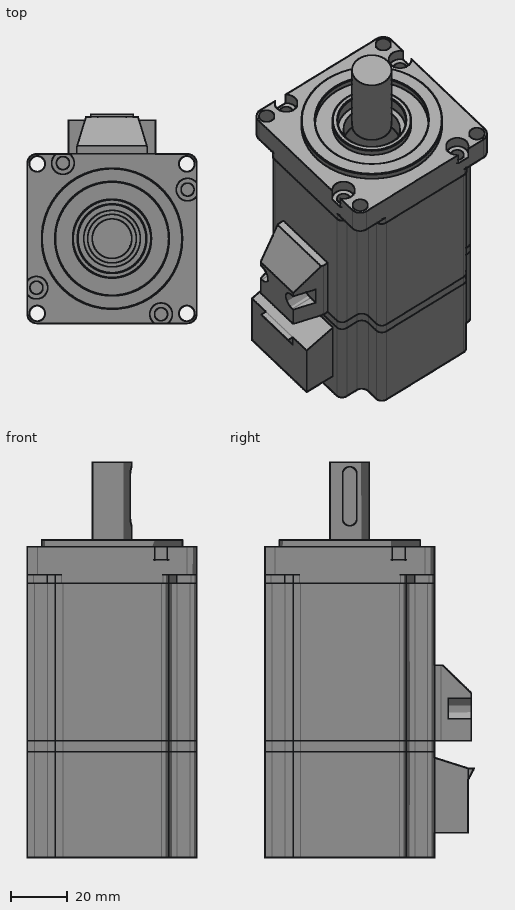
import cadquery as cq

frame_width = 60.0
half_frame = frame_width / 2
notch_wall_offset = 20.0
notch_inner_radius = 3.0
flange_notch_chamfer = 3.0
body_edge_radius = 2.5
flange_edge_radius = 2.1
overlap = 1.4

plate_bottom = 37.5
stator_bottom = 41.3
flange_bottom = 97.2
ear_bottom = 100.1
flange_top = 110.0
register_top = 112.5
shaft_end = 140.0

flange_corner_radius = 3.5
mounting_hole_diameter = 5.5
mounting_hole_offset = 26.5
screw_hole_diameter = 4.6
screw_head_diameter = 8.0
screw_head_depth = 4.6
screw_long_offset = 26.7
screw_short_offset = 17.4
register_diameter = 50.0
register_inner_diameter = 40.0
collar_diameter = 28.0
collar_top = register_top
seal_seat_diameter = 24.1
seal_seat_z = 107.7
shaft_bore_diameter = 20.0
rim_chamfer = 0.3

cavity_diameter = 36.4
cavity_top = ear_bottom
plate_hole_diameter = 17.2

shaft_diameter = 14.0
keyway_width = 5.0
keyway_depth = 3.0
keyway_length = 20.9
keyway_top = 138.3

power_width = 25.0
power_reach = 13.0
power_base_reach = 2.1
power_tip_width = 18.5
power_top = 68.2
power_top_reach = 2.8
power_tip_top = 58.2
grip_z = 52.8
grip_width = 7.3
grip_length = 8.3
grip_arc_inset = 0.5

encoder_width = 31.0
encoder_reach = 11.9
encoder_bottom = 8.8
encoder_top = 35.4
encoder_tip_top = 31.6
latch_width = 15.1
latch_reach = 14.0
latch_bottom = 27.6


def cylinder(diameter, bottom, top):
    return cq.Workplane("XY").workplane(offset=bottom).circle(diameter / 2).extrude(top - bottom)


def raised_ring(outer_diameter, inner_diameter, top):
    """Ring on the flange face with both upper edges chamfered."""
    ring = cylinder(outer_diameter, flange_top, top).cut(cylinder(inner_diameter, flange_top, top))
    return ring.faces(">Z").edges().chamfer(rim_chamfer)


def notched_prism(bottom, top, edge_radius):
    """Square prism with a square notch along each vertical corner, sharp at its inner corner."""
    height = top - bottom
    arm_width = 2 * notch_wall_offset
    base = cq.Workplane("XY").workplane(offset=bottom)
    arm_x = base.rect(frame_width, arm_width).extrude(height).edges("|Z").fillet(edge_radius)
    arm_y = base.rect(arm_width, frame_width).extrude(height).edges("|Z").fillet(edge_radius)
    return arm_x.union(arm_y)


def notch_corners(prism):
    """The four inner vertical edges of the corner notches."""
    reach = notch_wall_offset + overlap
    middle = cq.selectors.BoxSelector((-reach, -reach, 0), (reach, reach, shaft_end))
    return prism.edges("|Z").edges(middle)


def body_section(bottom, top):
    """Length of the notched body with rounded notches, as on stator, plate and cover."""
    prism = notched_prism(bottom, top, body_edge_radius)
    return notch_corners(prism).fillet(notch_inner_radius)


def make_flange():
    lower = notched_prism(flange_bottom, ear_bottom, flange_edge_radius)
    lower = notch_corners(lower).chamfer(flange_notch_chamfer)
    ears = (
        cq.Workplane("XY")
        .workplane(offset=ear_bottom)
        .rect(frame_width, frame_width)
        .extrude(flange_top - ear_bottom)
        .edges("|Z")
        .fillet(flange_corner_radius)
    )
    flange = lower.union(ears)

    flange = flange.cut(cylinder(seal_seat_diameter, seal_seat_z, flange_top))
    flange = flange.cut(cylinder(shaft_bore_diameter, flange_bottom, flange_top))
    flange = flange.cut(cylinder(cavity_diameter, flange_bottom, cavity_top))

    flange = flange.union(raised_ring(register_diameter, register_inner_diameter, register_top))
    flange = flange.union(raised_ring(collar_diameter, seal_seat_diameter, collar_top))

    mounting_holes = (
        cq.Workplane("XY")
        .workplane(offset=flange_bottom)
        .rect(2 * mounting_hole_offset, 2 * mounting_hole_offset, forConstruction=True)
        .vertices()
        .circle(mounting_hole_diameter / 2)
        .extrude(flange_top - flange_bottom + overlap)
    )
    flange = flange.cut(mounting_holes)

    for turn in (0, 180):
        for x, y in (
            (screw_long_offset, screw_short_offset),
            (screw_short_offset, -screw_long_offset),
        ):
            hole = cylinder(screw_hole_diameter, flange_bottom, flange_top)
            head = cylinder(screw_head_diameter, flange_top - screw_head_depth, flange_top + overlap)
            screw = hole.union(head).translate((x, y, 0))
            flange = flange.cut(screw.rotate((0, 0, 0), (0, 0, 1), turn))
    return flange


def make_stator():
    stator = body_section(stator_bottom, flange_bottom)
    return stator.cut(cylinder(cavity_diameter, stator_bottom, flange_bottom))


def make_plate():
    plate = body_section(plate_bottom, stator_bottom)
    return plate.cut(cylinder(plate_hole_diameter, plate_bottom, stator_bottom))


def make_rear_cover():
    return body_section(0, plate_bottom)


def make_shaft():
    shaft = cylinder(shaft_diameter, flange_top, shaft_end)
    keyway = (
        cq.Workplane("YZ")
        .workplane(offset=shaft_diameter / 2 - keyway_depth)
        .center(0, keyway_top - keyway_length / 2)
        .slot2D(keyway_length, keyway_width, 90)
        .extrude(keyway_depth + overlap)
    )
    return shaft.cut(keyway)


def make_power_connector():
    tip_y = half_frame + power_reach
    plan = (
        cq.Workplane("XY")
        .workplane(offset=stator_bottom)
        .moveTo(-power_width / 2, half_frame)
        .lineTo(-power_width / 2, half_frame + power_base_reach)
        .lineTo(-power_tip_width / 2, tip_y)
        .lineTo(power_tip_width / 2, tip_y)
        .lineTo(power_width / 2, half_frame + power_base_reach)
        .lineTo(power_width / 2, half_frame)
        .close()
        .extrude(power_top - stator_bottom)
    )
    side = (
        cq.Workplane("YZ")
        .moveTo(half_frame, stator_bottom)
        .lineTo(tip_y, stator_bottom)
        .lineTo(tip_y, power_tip_top)
        .lineTo(half_frame + power_top_reach, power_top)
        .lineTo(half_frame, power_top)
        .close()
        .extrude(power_width / 2, both=True)
    )
    connector = plan.intersect(side)

    arc_x = power_tip_width / 2 - grip_arc_inset
    for direction in (-1, 1):
        grip = (
            cq.Workplane("XZ", origin=(0, tip_y, 0))
            .moveTo(direction * power_width / 2, grip_z - grip_width / 2)
            .lineTo(direction * arc_x, grip_z - grip_width / 2)
            .threePointArc(
                (direction * (arc_x - grip_width / 2), grip_z),
                (direction * arc_x, grip_z + grip_width / 2),
            )
            .lineTo(direction * power_width / 2, grip_z + grip_width / 2)
            .close()
            .extrude(grip_length)
        )
        connector = connector.cut(grip)
    return connector


def make_encoder_connector():
    tip_y = half_frame + encoder_reach
    housing = (
        cq.Workplane("YZ")
        .moveTo(half_frame, encoder_bottom)
        .lineTo(tip_y, encoder_bottom)
        .lineTo(tip_y, encoder_tip_top)
        .lineTo(half_frame, encoder_top)
        .close()
        .extrude(encoder_width / 2, both=True)
    )
    latch = (
        cq.Workplane("YZ")
        .moveTo(tip_y, latch_bottom)
        .lineTo(half_frame + latch_reach, encoder_tip_top)
        .lineTo(tip_y, encoder_tip_top)
        .close()
        .extrude(latch_width / 2, both=True)
    )
    return housing.union(latch)


flange = make_flange()
stator = make_stator()
plate = make_plate()
rear_cover = make_rear_cover()
shaft = make_shaft()
power_connector = make_power_connector()
encoder_connector = make_encoder_connector()

result = cq.Compound.makeCompound([
    flange.val(),
    stator.val(),
    plate.val(),
    rear_cover.val(),
    shaft.val(),
    power_connector.val(),
    encoder_connector.val(),
])